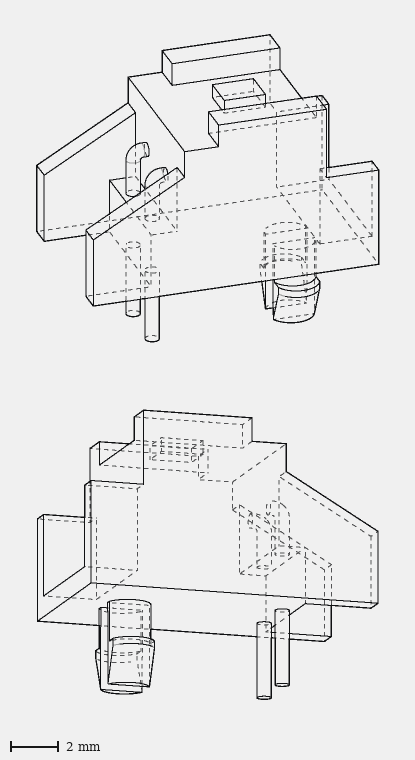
import cadquery as cq
import math

width = 7.5
length = 12.6
y_rear = length / 2
y_cheek_front = -length / 2
y_step = 4.0
y_rail_front = -0.77
y_body_front = -2.27
y_ledge_front = -3.41
z_rail = 7.59
z_body = 6.58
z_slope_top = 5.38
z_slope_bottom = 3.09
z_step = 4.4
z_ledge = 2.41
cheek_thickness = 1.0
rail_width = 1.34
rear_wall = 0.9

pad_width = 1.59
pad_length = 1.81
pad_top = 7.17
pad_y = 1.37

pin_radius = 0.3
pin_x = 1.26
pin_y = -2.87
pin_bottom = -3.2
bend_start_z = 3.96
bend_radius = 0.4
pin_embed = 0.25

peg_y = 3.63
peg_width = 1.83
peg_arc_radius = 1.0
peg_bottom = -3.52
shaft_reach = 1.31
lip_reach = 1.81
tip_reach = 1.11
lip_top = -1.7
lip_bottom = -2.0
gap_half_top = 0.48
gap_half_bottom = 0.53


def block(x_size, y0, y1, z0, z1):
    """Box centred on X between the given Y and Z limits."""
    return cq.Workplane("XY").box(x_size, y1 - y0, z1 - z0, centered=False).translate((-x_size / 2, y0, z0))


def make_housing():
    profile = [
        (y_rear, 0),
        (y_rear, z_step),
        (y_step, z_step),
        (y_step, z_rail),
        (y_rail_front, z_rail),
        (y_rail_front, z_body),
        (y_body_front, z_body),
        (y_body_front, z_slope_top),
        (y_cheek_front, z_slope_bottom),
        (y_cheek_front, 0),
    ]
    housing = cq.Workplane("YZ").polyline(profile).close().extrude(width / 2, both=True)

    housing = housing.cut(block(width - 2 * rail_width, y_rail_front, y_step, z_body, z_rail))

    between_cheeks = width - 2 * cheek_thickness
    housing = housing.cut(block(between_cheeks, y_cheek_front, y_body_front, 0, z_slope_top))
    housing = housing.union(block(between_cheeks, y_ledge_front, y_body_front, 0, z_ledge))

    housing = housing.cut(block(width - 2 * rear_wall, y_step, y_rear, rear_wall, z_step))

    pad = block(pad_width, pad_y - pad_length / 2, pad_y + pad_length / 2, z_body, pad_top)
    return housing.union(pad)


def make_pin(x):
    """Round wire rising from below and bending back into the housing."""
    bend_end_y = pin_y + bend_radius
    bend_top_z = bend_start_z + bend_radius
    bend_offset = bend_radius * (1 - math.sqrt(0.5))
    path = (
        cq.Workplane("YZ", origin=(x, 0, 0))
        .moveTo(pin_y, pin_bottom)
        .lineTo(pin_y, bend_start_z)
        .threePointArc((pin_y + bend_offset, bend_top_z - bend_offset), (bend_end_y, bend_top_z))
        .lineTo(y_body_front + pin_embed, bend_top_z)
    )
    return cq.Workplane("XY", origin=(x, pin_y, pin_bottom)).circle(pin_radius).sweep(path)


def peg_section(workplane, reach):
    """Draw a section from the centre plane to a rounded outer side."""
    half = peg_width / 2
    arc_height = peg_arc_radius - math.sqrt(peg_arc_radius**2 - half**2)
    return (
        workplane.moveTo(0, -half)
        .lineTo(reach - arc_height, -half)
        .threePointArc((reach, 0), (reach - arc_height, half))
        .lineTo(0, half)
        .close()
    )


def make_peg_half():
    shaft = peg_section(cq.Workplane("XY"), shaft_reach).extrude(lip_top)
    lip = peg_section(cq.Workplane("XY").workplane(offset=lip_top), lip_reach).extrude(lip_bottom - lip_top)
    tip_start = peg_section(cq.Workplane("XY").workplane(offset=lip_bottom), lip_reach)
    tip_end_plane = tip_start.workplane(offset=peg_bottom - lip_bottom)
    tip = peg_section(tip_end_plane, tip_reach).loft(ruled=True)

    gap_profile = [
        (0, 0),
        (gap_half_top, 0),
        (gap_half_bottom, peg_bottom),
        (0, peg_bottom),
    ]
    gap = cq.Workplane("XZ").polyline(gap_profile).close().extrude(peg_width, both=True)
    return shaft.union(lip).union(tip).cut(gap).translate((0, peg_y, 0))


result = make_housing()
for side in (-1, 1):
    result = result.union(make_pin(side * pin_x))

peg_half = make_peg_half()
result = result.union(peg_half).union(peg_half.mirror("YZ"))